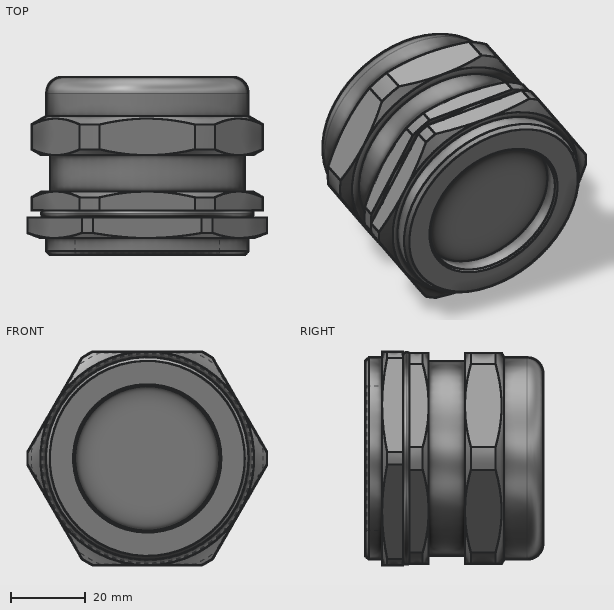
import cadquery as cq
import math


locknut_start = 4.55
locknut_end = 10.05
body_hex_start = 11.9
body_hex_end = 16.95
cap_hex_start = 26.6
cap_hex_end = 37.05
total_length = 47.55

thread_diameter = 54.0
thread_tip_diameter = 52.0
thread_chamfer_length = 1.1
neck_diameter = 52.0
cap_diameter = thread_diameter
cap_round = 4.4

locknut_flats = 57.0
locknut_corners = 64.0
locknut_chamfer = 1.35
wrench_flats = 56.3
wrench_corners = 61.8
wrench_slope = math.tan(math.radians(30))

seal_outer_diameter = 56.7
seal_section_radius = 1.0

bore_diameter = 38.5
bore_mouth_diameter = 39.55
bore_depth = 4.5
bore_chamfer = (bore_mouth_diameter - bore_diameter) / 2


def turned(points):
    """Revolve a closed (radius, y) outline about the Y axis."""
    return cq.Workplane("XY").polyline(points).close().revolve(360, (0, 0), (0, 1))


def cylinder(diameter, start, end):
    radius = diameter / 2
    return turned([(0, start), (radius, start), (radius, end), (0, end)])


def hexagon(flats, corners, start, end, front, back):
    """Hexagon with flats facing +Z and -Z and turned corners.

    front and back are (face diameter, axial length) of the conical end chamfers,
    or None for a plain end.
    """
    prism = (
        cq.Workplane("XZ", origin=(0, start, 0))
        .polygon(6, flats / math.cos(math.pi / 6))
        .extrude(start - end)
    )
    radius = corners / 2
    outline = [(0, start)]
    if front is None:
        outline.append((radius, start))
    else:
        outline += [(front[0] / 2, start), (radius, start + front[1])]
    if back is None:
        outline.append((radius, end))
    else:
        outline += [(radius, end - back[1]), (back[0] / 2, end)]
    outline.append((0, end))
    return prism.intersect(turned(outline))


def wrench_chamfer(face_diameter):
    """End chamfer of a wrench hexagon that starts at the given face diameter."""
    return face_diameter, (wrench_corners - face_diameter) / 2 * wrench_slope


thread_radius = thread_diameter / 2
thread = turned([
    (0, 0),
    (thread_tip_diameter / 2, 0),
    (thread_radius, thread_chamfer_length),
    (thread_radius, body_hex_start),
    (0, body_hex_start),
])

locknut = hexagon(
    locknut_flats, locknut_corners, locknut_start, locknut_end,
    front=(locknut_flats, locknut_chamfer), back=None,
)

seal_ring_radius = seal_outer_diameter / 2 - seal_section_radius
seal = (
    cq.Workplane("XY")
    .moveTo(seal_ring_radius, locknut_end + seal_section_radius)
    .circle(seal_section_radius)
    .revolve(360, (0, 0), (0, 1))
)

body_hex = hexagon(
    wrench_flats, wrench_corners, body_hex_start, body_hex_end,
    front=None, back=wrench_chamfer(wrench_flats),
)

neck = cylinder(neck_diameter, body_hex_end, cap_hex_start)

cap_hex = hexagon(
    wrench_flats, wrench_corners, cap_hex_start, cap_hex_end,
    front=wrench_chamfer(wrench_flats), back=wrench_chamfer(cap_diameter),
)

cap = cylinder(cap_diameter, cap_hex_end, total_length).faces(">Y").edges().fillet(cap_round)

bore = turned([
    (0, 0),
    (bore_mouth_diameter / 2, 0),
    (bore_diameter / 2, bore_chamfer),
    (bore_diameter / 2, bore_depth),
    (0, bore_depth),
])

result = thread
for section in (locknut, seal, body_hex, neck, cap_hex, cap):
    result = result.union(section)
result = result.cut(bore)